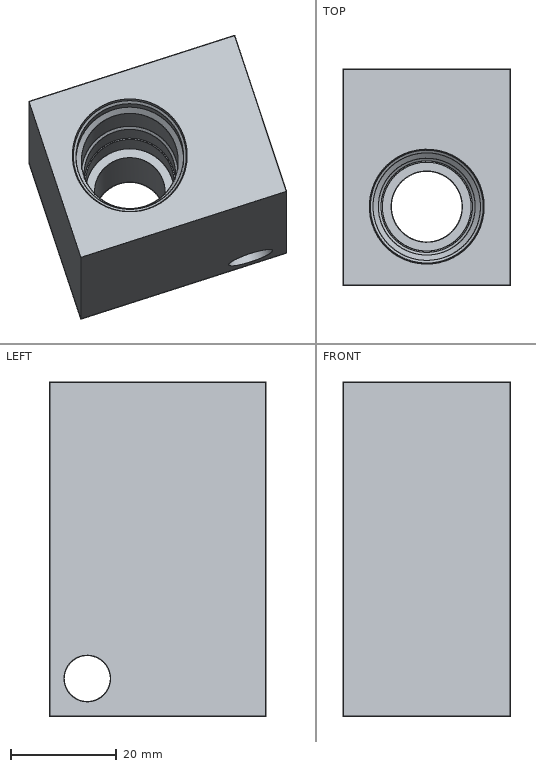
import cadquery as cq

width = 31.75
depth = 41.15
height = 63.5

cavity_x = width / 2
cavity_y = 15.0
mouth_radius = 10.9
lip_radius = 10.7
lip_depth = 0.75
collar_radius = 10.2
collar_start_depth = 1.2
collar_end_depth = 4.75
upper_bore_radius = 9.2
upper_bore_depth = 19.05
middle_bore_radius = 8.7
middle_bore_depth = 28.6
lower_bore_radius = 8.45
lower_bore_depth = 38.1
through_radius = 6.7

cross_hole_radius = 4.4
cross_hole_edge_distance = 7.2


def make_block():
    return cq.Workplane("XY").box(width, depth, height, centered=False)


def make_cavity():
    """Solid of revolution with the shape of the empty cavity."""
    seat_end_depth = collar_end_depth + collar_radius - upper_bore_radius
    middle_bore_start_depth = upper_bore_depth + upper_bore_radius - middle_bore_radius
    wall = [
        (mouth_radius, 0),
        (lip_radius, lip_depth),
        (collar_radius, collar_start_depth),
        (collar_radius, collar_end_depth),
        (upper_bore_radius, seat_end_depth),
        (upper_bore_radius, upper_bore_depth),
        (middle_bore_radius, middle_bore_start_depth),
        (middle_bore_radius, middle_bore_depth),
        (lower_bore_radius, middle_bore_depth),
        (lower_bore_radius, lower_bore_depth),
        (through_radius, lower_bore_depth),
        (through_radius, height),
    ]
    corners = [(radius, -below_top) for radius, below_top in wall]
    return (
        cq.Workplane("XZ")
        .polyline([(0, 0)] + corners + [(0, -height)])
        .close()
        .revolve(360, (0, 0), (0, 1))
        .translate((cavity_x, cavity_y, height))
    )


def make_cross_hole():
    return (
        cq.Workplane("YZ")
        .center(depth - cross_hole_edge_distance, cross_hole_edge_distance)
        .circle(cross_hole_radius)
        .extrude(width)
    )


result = make_block().cut(make_cavity()).cut(make_cross_hole())